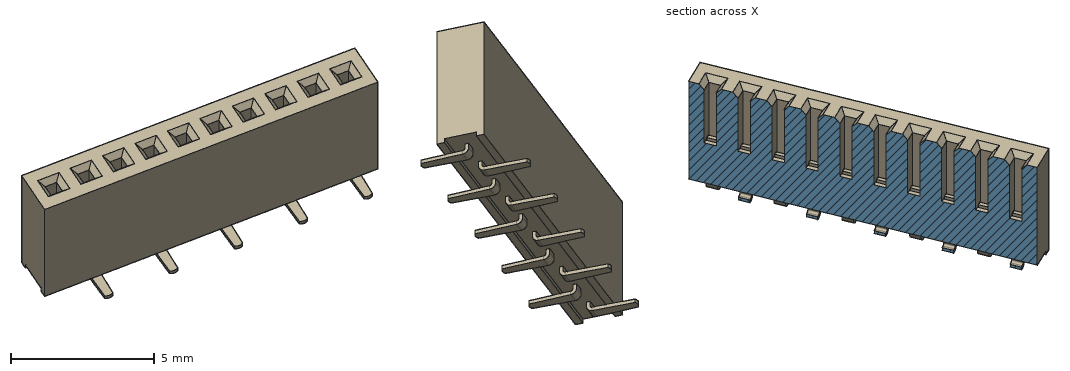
import cadquery as cq

length = 13.05
total_height = 4.83
housing_width = 1.77
housing_bottom = 0.23
foot_width = 0.29
channel_depth = 0.16

socket_count = 10
end_margin = 0.81
pitch = (length - 2 * end_margin) / (socket_count - 1)
mouth_size = 0.84
bore_size = 0.45
funnel_depth = 0.22
bore_depth = 2.61

lead_span = 3.58
strip_thickness = 0.15
bend_inner_radius = 0.08
lead_width = 0.43
tip_width = 0.33
tip_bulge = 0.05
blade_width = 0.38
blade_rise = 0.13

bore_floor = total_height - bore_depth
socket_places = [(0, -length / 2 + end_margin + i * pitch) for i in range(socket_count)]


def make_housing():
    """Rectangular block with a channel between two feet along its underside."""
    block_height = total_height - housing_bottom
    block = cq.Workplane("XY", origin=(0, 0, housing_bottom)).box(
        housing_width, length, block_height, centered=(True, True, False)
    )
    channel = cq.Workplane("XY", origin=(0, 0, housing_bottom)).box(
        housing_width - 2 * foot_width, length, channel_depth, centered=(True, True, False)
    )
    return block.cut(channel)


def make_socket():
    """Square bore with a funnel mouth, centred on the Z axis."""
    bore = cq.Workplane("XY", origin=(0, 0, bore_floor)).rect(bore_size, bore_size).extrude(bore_depth)
    funnel = (
        cq.Workplane("XY", origin=(0, 0, total_height))
        .rect(mouth_size, mouth_size)
        .workplane(offset=-funnel_depth)
        .rect(bore_size, bore_size)
        .loft(ruled=True)
    )
    return bore.union(funnel)


def make_contact():
    """Upright strip bent at its foot into a tapered lead towards -X, with a narrower blade on top."""
    half_strip = strip_thickness / 2
    bend_x = -half_strip - bend_inner_radius
    bend_z = strip_thickness + bend_inner_radius
    tip_x = -lead_span / 2
    strip = (
        cq.Workplane("XZ")
        .moveTo(half_strip, bore_floor)
        .lineTo(half_strip, bend_z)
        .tangentArcPoint((bend_x, 0), relative=False)
        .lineTo(tip_x, 0)
        .lineTo(tip_x, strip_thickness)
        .lineTo(bend_x, strip_thickness)
        .tangentArcPoint((-half_strip, bend_z), relative=False)
        .lineTo(-half_strip, bore_floor)
        .close()
        .extrude(lead_width / 2, both=True)
    )
    plan = (
        cq.Workplane("XY")
        .moveTo(half_strip, lead_width / 2)
        .lineTo(bend_x, lead_width / 2)
        .lineTo(tip_x + tip_bulge, tip_width / 2)
        .threePointArc((tip_x, 0), (tip_x + tip_bulge, -tip_width / 2))
        .lineTo(bend_x, -lead_width / 2)
        .lineTo(half_strip, -lead_width / 2)
        .close()
        .extrude(bore_floor)
    )
    blade = cq.Workplane("XY", origin=(0, 0, bore_floor)).box(
        strip_thickness, blade_width, blade_rise, centered=(True, True, False)
    )
    return strip.intersect(plan).union(blade)


result = make_housing()

socket = make_socket()
for place in socket_places:
    result = result.cut(socket.translate((*place, 0)))

contact = make_contact()
for index, place in enumerate(socket_places):
    turn = 180 * (index % 2)
    result = result.union(contact.rotate((0, 0, 0), (0, 0, 1), turn).translate((*place, 0)))